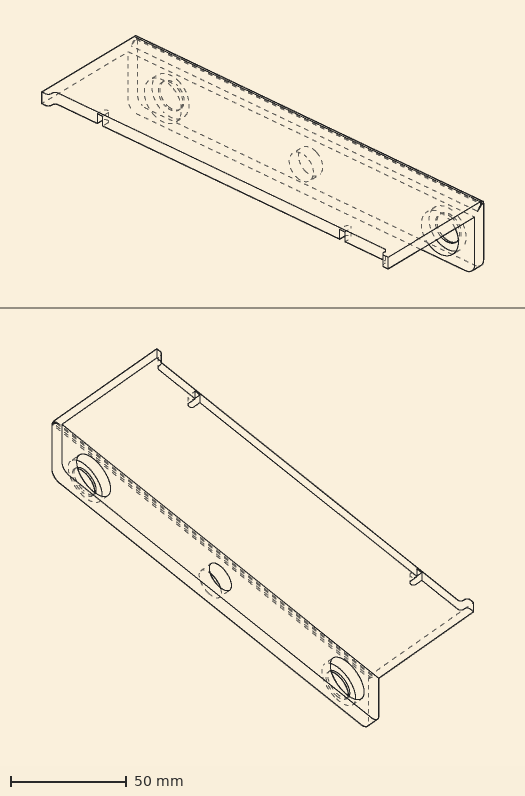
import cadquery as cq

length = 200.0
depth = 62.0
height = 35.5
thickness = 6.0

corner_round = 1.8
skin_thickness = 0.5
seam_mouth = 1.2
seam_depth = 4.0

corner_radius = 5.0
hole_diameter = 14.0
hole_inset = 20.0
hole_height = 13.0
counterbore_diameter = 21.5
counterbore_depth = 5.0

lug_width = 4.0
lug_length = 4.0
lug_radius = 1.8

slot_inset = 30.0
slot_width = 3.0
slot_depth = 5.0
slot_height = 5.0

half_length = length / 2
flange_front_y = depth - thickness
shelf_bottom_z = height - thickness


def make_angle():
    """L section along X with a rounded outer corner."""
    section = [
        (0, shelf_bottom_z),
        (flange_front_y, shelf_bottom_z),
        (flange_front_y, 0),
        (depth, 0),
        (depth, height),
        (0, height),
    ]
    angle = cq.Workplane("YZ", origin=(-half_length, 0, 0)).polyline(section).close().extrude(length)
    return angle.edges("|X and >Y and >Z").fillet(corner_round)


def make_seam():
    """Hollow behind the rounded skin, continuing as a narrow V along the mitre of the two flanges."""
    section = [
        (depth - corner_round, height - skin_thickness),
        (depth - skin_thickness, height - corner_round),
        (depth - seam_mouth, height - corner_round),
        (depth - seam_depth, height - seam_depth),
        (depth - corner_round, height - seam_mouth),
    ]
    return cq.Workplane("YZ", origin=(-half_length, 0, 0)).polyline(section).close().extrude(length)


def make_recess():
    """Cutter for the front edge between the lugs."""
    recess_length = length - 2 * lug_width
    return cq.Workplane("XY").box(recess_length, lug_length, height, centered=(True, False, False))


def make_slot(x):
    """Round-ended slot cutter with its mouth on the recessed edge."""
    straight_end_y = lug_length + slot_depth - slot_width / 2
    return (
        cq.Workplane("XY", origin=(x, 0, shelf_bottom_z))
        .moveTo(-slot_width / 2, lug_length)
        .lineTo(-slot_width / 2, straight_end_y)
        .threePointArc((0, lug_length + slot_depth), (slot_width / 2, straight_end_y))
        .lineTo(slot_width / 2, lug_length)
        .close()
        .extrude(slot_height)
    )


def make_bore(x, diameter, bore_depth):
    """Cylindrical cutter entering the upright flange from its inner face."""
    return (
        cq.Workplane("XZ", origin=(x, flange_front_y, hole_height))
        .circle(diameter / 2)
        .extrude(-bore_depth)
    )


result = make_angle()
result = result.cut(make_seam())
result = result.edges("|Y and <Z").edges("<X or >X").fillet(corner_radius)

result = result.cut(make_recess())
recess_zone = cq.selectors.BoxSelector(
    (-half_length + lug_width / 2, -lug_length / 2, 0),
    (half_length - lug_width / 2, lug_length * 3 / 2, height),
)
result = result.edges("|Z").edges(recess_zone).fillet(lug_radius)

end_hole_x = half_length - hole_inset
for x in (-end_hole_x, 0, end_hole_x):
    result = result.cut(make_bore(x, hole_diameter, thickness))
for x in (-end_hole_x, end_hole_x):
    result = result.cut(make_bore(x, counterbore_diameter, counterbore_depth))

slot_x = half_length - slot_inset
for x in (-slot_x, slot_x):
    result = result.cut(make_slot(x))